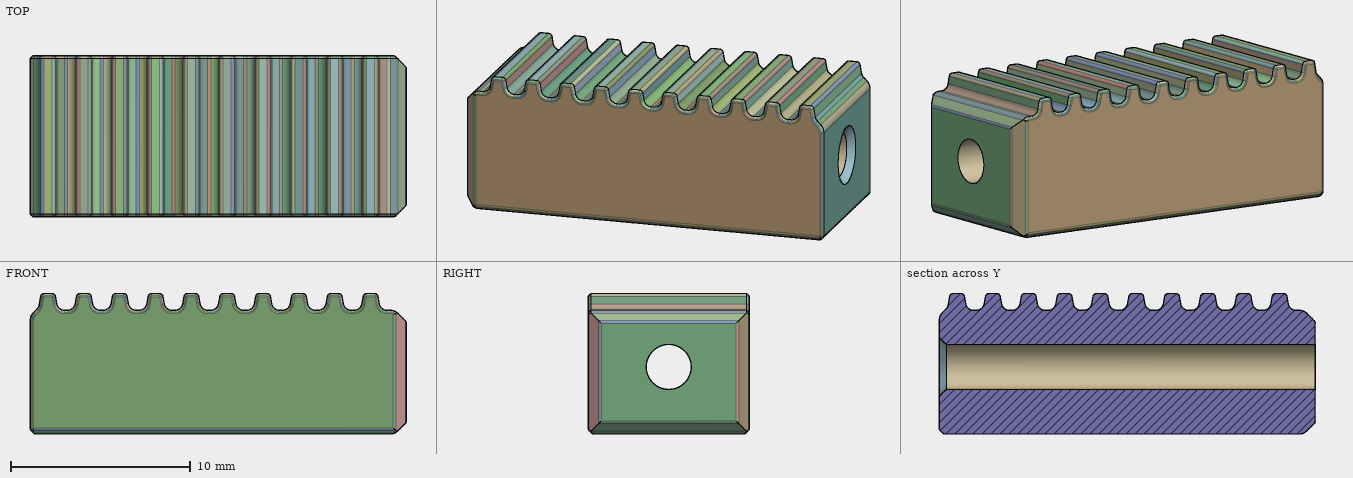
import cadquery as cq
import math

LENGTH = 21.0
WIDTH = 9.0
HEIGHT = 7.85

TOOTH_COUNT = 10
TOOTH_PITCH = 2.0
FIRST_TOOTH_X = 1.0
TOOTH_HEIGHT = 0.93
TIP_HALF_WIDTH = 0.39
FLANK_ANGLE = 10.0
TIP_RADIUS = 0.2
ROOT_RADIUS = 0.42

NOSE_CHAMFER = 0.65
NOSE_RADIUS = 0.6
SHOULDER_CHAMFER = 0.32
BOTTOM_CHAMFER = 0.25
EDGE_RADIUS = 0.2
OUTLINE_CHAMFER = 0.15
OUTLINE_RADIUS = 0.1

HOLE_DIAMETER = 2.5
HOLE_Z = 3.75
COUNTERSINK_DIAMETER = 3.3

ROOT_Z = HEIGHT - TOOTH_HEIGHT
BASE_HALF_WIDTH = TIP_HALF_WIDTH + TOOTH_HEIGHT * math.tan(math.radians(FLANK_ANGLE))


def rounded_outline(workplane, corners):
    """Closed outline through (x, z, radius) corners, each rounded by a tangent arc."""
    def step(point, direction, distance):
        return (point[0] + direction[0] * distance, point[1] + direction[1] * distance)

    def direction_to(start, end):
        span = math.dist(start, end)
        return ((end[0] - start[0]) / span, (end[1] - start[1]) / span)

    for index, (x, z, radius) in enumerate(corners):
        corner = (x, z)
        back = direction_to(corner, corners[index - 1][:2])
        ahead = direction_to(corner, corners[(index + 1) % len(corners)][:2])
        half_angle = math.acos(back[0] * ahead[0] + back[1] * ahead[1]) / 2
        setback = radius / math.tan(half_angle)
        start = step(corner, back, setback)
        workplane = workplane.moveTo(*start) if index == 0 else workplane.lineTo(*start)
        bisector = direction_to((0, 0), (back[0] + ahead[0], back[1] + ahead[1]))
        middle = step(corner, bisector, radius / math.sin(half_angle) - radius)
        workplane = workplane.threePointArc(middle, step(corner, ahead, setback))
    return workplane.close()


def side_corners():
    """Corners of the toothed side profile, clockwise from the bottom of the -X end."""
    shoulder_z = ROOT_Z - SHOULDER_CHAMFER
    corners = [
        (BOTTOM_CHAMFER, 0, EDGE_RADIUS),
        (0, BOTTOM_CHAMFER, EDGE_RADIUS),
        (0, shoulder_z, NOSE_RADIUS),
    ]
    for tooth in range(TOOTH_COUNT):
        center = FIRST_TOOTH_X + tooth * TOOTH_PITCH
        if tooth == 0:
            slope = math.tan(math.radians(FLANK_ANGLE))
            flank_x = (center - BASE_HALF_WIDTH - slope * SHOULDER_CHAMFER) / (1 - slope)
            corners.append((flank_x, shoulder_z + flank_x, ROOT_RADIUS))
        else:
            corners.append((center - BASE_HALF_WIDTH, ROOT_Z, ROOT_RADIUS))
        corners.append((center - TIP_HALF_WIDTH, HEIGHT, TIP_RADIUS))
        corners.append((center + TIP_HALF_WIDTH, HEIGHT, TIP_RADIUS))
        corners.append((center + BASE_HALF_WIDTH, ROOT_Z, ROOT_RADIUS))
    corners += [
        (LENGTH - NOSE_CHAMFER, ROOT_Z, NOSE_RADIUS),
        (LENGTH, ROOT_Z - NOSE_CHAMFER, EDGE_RADIUS),
        (LENGTH, NOSE_CHAMFER, EDGE_RADIUS),
        (LENGTH - NOSE_CHAMFER, 0, NOSE_RADIUS),
    ]
    return corners


def toothed_block():
    """Toothed profile across the full width, with both of its outlines chamfered and softened."""
    start = cq.Workplane("XZ", origin=(0, WIDTH / 2, 0))
    block = rounded_outline(start, side_corners()).extrude(WIDTH)
    block = block.faces("<Y or >Y").edges().chamfer(OUTLINE_CHAMFER)
    return block.faces("<Y or >Y").edges().fillet(OUTLINE_RADIUS)


def plain_box():
    return cq.Workplane("XY").box(LENGTH, WIDTH, HEIGHT, centered=(False, True, False))


def nose_envelope():
    """Box with the nose chamfers on its sides, all their edges softened."""
    box = plain_box().edges(">X and |Z").chamfer(NOSE_CHAMFER)
    return box.edges("|Z").edges("not <X").fillet(EDGE_RADIUS)


def bottom_envelope():
    """Box with its long bottom edges chamfered and softened."""
    box = plain_box().edges("<Z and |X").chamfer(BOTTOM_CHAMFER)
    return box.edges("|X").edges("not >Z").fillet(EDGE_RADIUS)


def screw_hole():
    countersink_depth = (COUNTERSINK_DIAMETER - HOLE_DIAMETER) / 2
    entry = cq.Workplane("YZ").center(0, HOLE_Z)
    bore = entry.circle(HOLE_DIAMETER / 2).extrude(LENGTH)
    countersink = (
        entry.circle(COUNTERSINK_DIAMETER / 2)
        .workplane(offset=countersink_depth)
        .circle(HOLE_DIAMETER / 2)
        .loft()
    )
    return bore.union(countersink)


block = toothed_block().intersect(nose_envelope()).intersect(bottom_envelope())
result = block.cut(screw_hole())